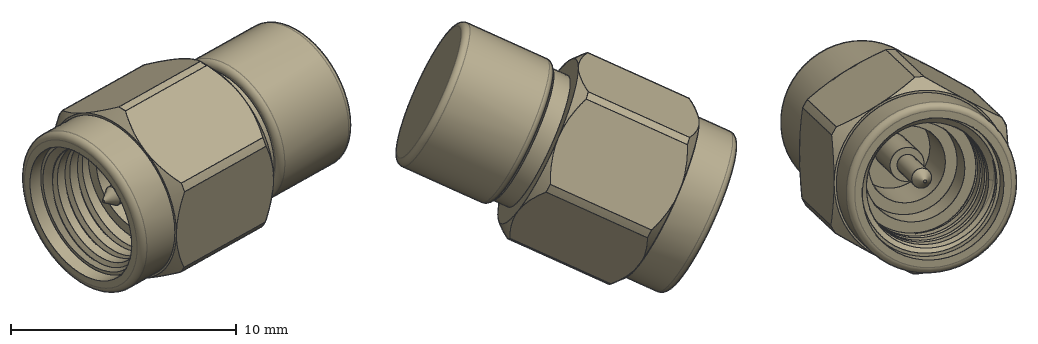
import cadquery as cq
import math

LENGTH = 13.4

ACROSS_FLATS = 8.0
CORNER_RADIUS = 4.5
HEX_TURN = 0.5
HEX_START = 2.02
HEX_END = 8.0
HEX_CHAMFER_LENGTH = 0.48
COLLAR_RADIUS = 3.9
COLLAR_FILLET = 0.31
NECK_RADIUS = 3.2
NUT_END = 8.8
ENTRY_RADIUS = 3.24
ENTRY_DEPTH = 0.65
LEAD_IN_RADIUS = 3.1
LEAD_IN_LENGTH = 0.3
BORE_RADIUS = 2.8

THREAD_START = 0.16
THREAD_PITCH = 0.76
THREAD_TURNS = 4
GROOVE_HALF_WIDTH = 0.15
GROOVE_HALF_ANGLE = 30.0
GROOVE_OVERLAP = 0.04

NUT_CLEARANCE = 0.08
REAR_START = NUT_END + NUT_CLEARANCE
REAR_RADIUS = 3.5
REAR_FILLET = 0.3
SHAFT_FRONT = 3.16
RECESS_RADIUS = 2.29
RECESS_FLOOR = 4.5
AIR_BORE_RADIUS = 1.75
AIR_BORE_DEPTH = 2.68

SHOULDER_RADIUS = 0.78
SEAT_DEPTH = 1.34
PIN_RADIUS = 0.45
PIN_TIP_RADIUS = 0.07
PIN_TIP = 1.4
PIN_CONE_LENGTH = 0.59
PIN_END = RECESS_FLOOR + AIR_BORE_DEPTH + SEAT_DEPTH


def cylinder(radius, start, end):
    """Cylinder on the Y axis between two Y positions."""
    return cq.Workplane("XZ", origin=(0, start, 0)).circle(radius).extrude(start - end)


def revolved(profile):
    """Closed (radius, Y) polyline revolved around the Y axis."""
    return cq.Workplane("XY").polyline(profile).close().revolve(360, (0, 0), (0, 1))


def hexagon():
    """Hex with truncated corners and both ends chamfered."""
    flat_radius = ACROSS_FLATS / 2
    prism = (
        cq.Workplane("XZ", origin=(0, HEX_START, 0))
        .polygon(6, ACROSS_FLATS / math.cos(math.radians(30)))
        .extrude(HEX_START - HEX_END)
        .rotate((0, 0, 0), (0, 1, 0), 30 + HEX_TURN)
    )
    envelope = revolved([
        (0, HEX_START),
        (flat_radius, HEX_START),
        (CORNER_RADIUS, HEX_START + HEX_CHAMFER_LENGTH),
        (CORNER_RADIUS, HEX_END - HEX_CHAMFER_LENGTH),
        (flat_radius, HEX_END),
        (0, HEX_END),
    ])
    return prism.intersect(envelope)


def thread_groove():
    """Helical V cutter, made along Z and then laid along +Y."""
    flank_slope = math.tan(math.radians(GROOVE_HALF_ANGLE))
    root_radius = BORE_RADIUS + GROOVE_HALF_WIDTH / flank_slope
    inner_radius = BORE_RADIUS - GROOVE_OVERLAP
    inner_half_width = (root_radius - inner_radius) * flank_slope
    path = cq.Wire.makeHelix(THREAD_PITCH, THREAD_PITCH * THREAD_TURNS, BORE_RADIUS)
    return (
        cq.Workplane("XZ")
        .polyline([
            (inner_radius, -inner_half_width),
            (root_radius, 0),
            (inner_radius, inner_half_width),
        ])
        .close()
        .sweep(cq.Workplane(path), isFrenet=True)
        .rotate((0, 0, 0), (1, 0, 0), -90)
        .rotate((0, 0, 0), (0, 1, 0), 90)
        .translate((0, THREAD_START, 0))
    )


def make_nut():
    collar = cylinder(COLLAR_RADIUS, 0, HEX_START).faces("<Y").edges().fillet(COLLAR_FILLET)
    neck = cylinder(NECK_RADIUS, HEX_END, NUT_END)
    bore = revolved([
        (0, 0),
        (ENTRY_RADIUS, 0),
        (ENTRY_RADIUS, ENTRY_DEPTH),
        (LEAD_IN_RADIUS, ENTRY_DEPTH),
        (BORE_RADIUS, ENTRY_DEPTH + LEAD_IN_LENGTH),
        (BORE_RADIUS, NUT_END),
        (0, NUT_END),
    ])
    return collar.union(hexagon()).union(neck).cut(bore).cut(thread_groove())


def make_body():
    rear = cylinder(REAR_RADIUS, REAR_START, LENGTH).edges().fillet(REAR_FILLET)
    shaft = cylinder(BORE_RADIUS, SHAFT_FRONT, REAR_START)
    recess = cylinder(RECESS_RADIUS, SHAFT_FRONT, RECESS_FLOOR)
    air_bore = cylinder(AIR_BORE_RADIUS, RECESS_FLOOR, RECESS_FLOOR + AIR_BORE_DEPTH)
    pin_seat = cylinder(SHOULDER_RADIUS, RECESS_FLOOR + AIR_BORE_DEPTH, PIN_END)
    return rear.union(shaft).cut(recess).cut(air_bore).cut(pin_seat)


def make_pin():
    return revolved([
        (0, PIN_TIP),
        (PIN_TIP_RADIUS, PIN_TIP),
        (PIN_RADIUS, PIN_TIP + PIN_CONE_LENGTH),
        (PIN_RADIUS, RECESS_FLOOR),
        (SHOULDER_RADIUS, RECESS_FLOOR),
        (SHOULDER_RADIUS, PIN_END),
        (0, PIN_END),
    ])


nut = make_nut()
body = make_body()
pin = make_pin()

result = cq.Compound.makeCompound([nut.val(), body.val(), pin.val()])